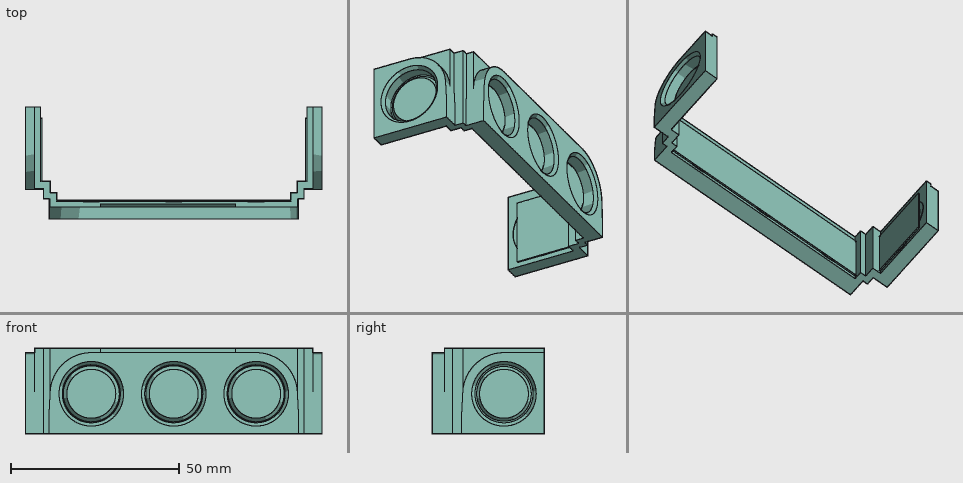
import cadquery as cq
import math

LENGTH = 88.0
DEPTH = 33.3
HEIGHT = 25.4

PANEL_RADIUS = 12.2
PANEL_TOP = 24.1
DRAFT_ANGLE = 3.0
PANEL_REACH = PANEL_RADIUS * math.cos(math.radians(DRAFT_ANGLE))
DRAFT_BOTTOM = 6.1

BUTTON_PITCH = 24.5
BUTTON_Z = PANEL_TOP - PANEL_RADIUS
SIDE_BUTTON_INSET = 12.0
SIDE_BUTTON_Y = DEPTH - SIDE_BUTTON_INSET
BORE_DIAMETER = 17.25
BORE_CHAMFER = 1.0

OUTER_X = (41.3, 38.7, BUTTON_PITCH + PANEL_REACH)
OUTER_Y = (SIDE_BUTTON_Y - PANEL_REACH, 6.0, 3.6)
INNER_X = (39.5, 36.6, 34.7)
INNER_Y = (11.3, 7.8, 5.2)

BEVEL_LENGTH = 40.0
BEVEL_DEPTH = 0.9
BEVEL_CENTRE_X = -1.8

SHEET_THICKNESS = 0.4
SHEET_END_GAP = 3.3
FLANGE_DIAMETER = 20.6
FLANGE_THICKNESS = 0.2
BUTTON_BASE_DIAMETER = 16.6
BUTTON_TOP_DIAMETER = 14.5
BUTTON_TAPER_LENGTH = 1.0
BUTTON_RECESS = 3.5


def stepped_prism(half_widths, setbacks, rear, bottom, height):
    """A symmetric prism whose two front corners go in by steps."""
    right = [(half_widths[0], rear)]
    for index, setback in enumerate(setbacks):
        right.append((half_widths[index], setback))
        if index + 1 < len(half_widths):
            right.append((half_widths[index + 1], setback))
    left = [(-x, y) for x, y in reversed(right)]
    return cq.Workplane("XY", origin=(0, 0, bottom)).polyline(right + left).close().extrude(height)


def mirrored_pair(shape):
    """The shape joined with its mirror image across the middle of the part."""
    return shape.union(shape.mirror("YZ"))


FRONT_FRAMES = [
    cq.Plane(origin=(x, 0, BUTTON_Z), xDir=(1, 0, 0), normal=(0, -1, 0))
    for x in (-BUTTON_PITCH, 0, BUTTON_PITCH)
]
SIDE_FRAME = cq.Plane(origin=(LENGTH / 2, SIDE_BUTTON_Y, BUTTON_Z), xDir=(0, 1, 0), normal=(1, 0, 0))

FRONT_WALL_DEPTH = INNER_Y[-1]
SIDE_WALL_DEPTH = LENGTH / 2 - INNER_X[0]


def disc(frame, diameter, start_depth, end_depth):
    """A cylinder between two depths below the panel face."""
    circle = cq.Workplane(frame).workplane(offset=-start_depth).circle(diameter / 2)
    return circle.extrude(start_depth - end_depth)



def panel(frame, straight_length, thickness):
    """A panel from its rounded, slightly leaning end along a straight length."""
    lean = math.radians(DRAFT_ANGLE)
    middle = (math.radians(90) + lean) / 2
    tangent_point = (-PANEL_REACH, PANEL_RADIUS * math.sin(lean))
    arc_middle = (-PANEL_RADIUS * math.cos(middle), PANEL_RADIUS * math.sin(middle))
    draft_end = DRAFT_BOTTOM - BUTTON_Z
    end_x = tangent_point[0] - (tangent_point[1] - draft_end) * math.tan(lean)
    outline = (
        cq.Workplane(frame)
        .moveTo(straight_length, PANEL_RADIUS)
        .lineTo(0, PANEL_RADIUS)
        .threePointArc(arc_middle, tangent_point)
        .lineTo(end_x, draft_end)
        .lineTo(end_x, -BUTTON_Z)
        .lineTo(straight_length, -BUTTON_Z)
        .close()
    )
    return outline.extrude(-thickness)


def housing_blank():
    """The stepped wall with its three outside panels."""
    wall = stepped_prism(OUTER_X, OUTER_Y, DEPTH, 0, HEIGHT)
    cavity = stepped_prism(INNER_X, INNER_Y, DEPTH, 0, HEIGHT)
    front_half = panel(FRONT_FRAMES[0], BUTTON_PITCH, OUTER_Y[1])
    side = panel(SIDE_FRAME, SIDE_BUTTON_INSET, LENGTH / 2 - OUTER_X[1])
    return wall.union(mirrored_pair(front_half)).union(mirrored_pair(side)).cut(cavity)


def opening(frame, depth):
    """The cutter for one button bore with a chamfered mouth."""
    mouth = (
        cq.Workplane(frame)
        .circle(BORE_DIAMETER / 2 + BORE_CHAMFER)
        .workplane(offset=-BORE_CHAMFER)
        .circle(BORE_DIAMETER / 2)
        .loft(combine=True)
    )
    return mouth.union(disc(frame, BORE_DIAMETER, 0, depth))


def top_bevel():
    """The cutter for the bevel along the top front edge of the wall."""
    wall_front = OUTER_Y[-1]
    return (
        cq.Workplane("YZ", origin=(BEVEL_CENTRE_X - BEVEL_LENGTH / 2, 0, 0))
        .polyline([(wall_front, PANEL_TOP), (wall_front, HEIGHT), (wall_front + BEVEL_DEPTH, HEIGHT)])
        .close()
        .extrude(BEVEL_LENGTH)
    )


def make_housing(keypad):
    """The housing, with a matching recess for the keypad."""
    body = housing_blank().cut(top_bevel())
    for frame in FRONT_FRAMES:
        body = body.cut(opening(frame, FRONT_WALL_DEPTH))
    body = body.cut(mirrored_pair(opening(SIDE_FRAME, SIDE_WALL_DEPTH)))
    return body.cut(keypad)



def sheet():
    """The sheet, which leaves the wall face to pass midway through the corner steps."""
    buried_x = [(outer + inner + SHEET_THICKNESS) / 2 for outer, inner in zip(OUTER_X[1:], INNER_X[1:])]
    buried_y = [(outer + inner - SHEET_THICKNESS) / 2 for outer, inner in zip(OUTER_Y[:-1], INNER_Y[:-1])]
    outside_x = [INNER_X[0], *buried_x]
    outside_y = [*buried_y, INNER_Y[-1]]
    inside_x = [x - SHEET_THICKNESS for x in outside_x]
    inside_y = [y + SHEET_THICKNESS for y in outside_y]
    rear = DEPTH - SHEET_END_GAP
    bottom = BUTTON_Z - FLANGE_DIAMETER / 2
    outside = stepped_prism(outside_x, outside_y, rear, bottom, FLANGE_DIAMETER)
    inside = stepped_prism(inside_x, inside_y, rear, bottom, FLANGE_DIAMETER)
    return outside.cut(inside)


def button(frame, wall_depth):
    """A button with a tapered tip, rooted in the sheet, and a flange let into the wall."""
    shoulder_depth = BUTTON_RECESS + BUTTON_TAPER_LENGTH
    tip = (
        cq.Workplane(frame)
        .workplane(offset=-shoulder_depth)
        .circle(BUTTON_BASE_DIAMETER / 2)
        .workplane(offset=BUTTON_TAPER_LENGTH)
        .circle(BUTTON_TOP_DIAMETER / 2)
        .loft(combine=True)
    )
    base = disc(frame, BUTTON_BASE_DIAMETER, wall_depth + SHEET_THICKNESS, shoulder_depth)
    flange = disc(frame, FLANGE_DIAMETER, wall_depth, wall_depth - FLANGE_THICKNESS)
    return tip.union(base).union(flange)


def make_keypad():
    """The one-piece keypad with three front buttons and one on each side."""
    body = sheet()
    for frame in FRONT_FRAMES:
        body = body.union(button(frame, FRONT_WALL_DEPTH))
    return body.union(mirrored_pair(button(SIDE_FRAME, SIDE_WALL_DEPTH)))


keypad = make_keypad()
housing = make_housing(keypad)
result = cq.Compound.makeCompound([*housing.solids().vals(), *keypad.solids().vals()])